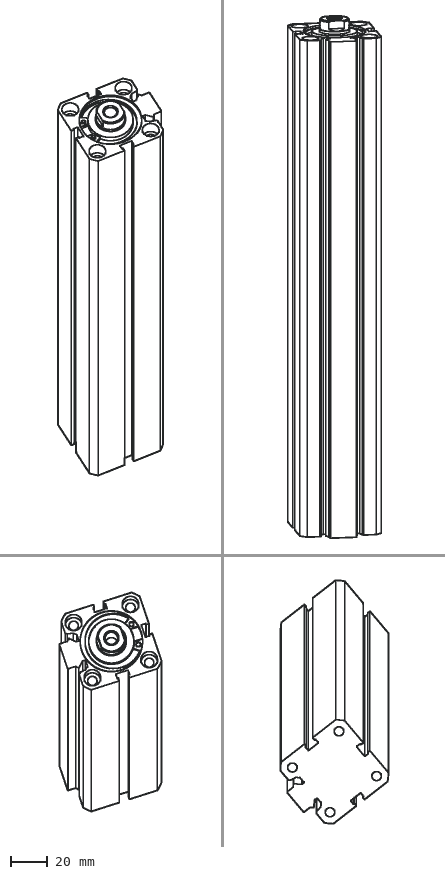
import cadquery as cq
import math

total_height = 283.0
housing_side = 45.0
housing_height = 276.0
corner_radius_from_axis = 29.5
half_side = housing_side / 2

mount_pitch = 32.5
mount_hole_diameter = 5.0
counterbore_diameter = 9.0
counterbore_depth = 7.0

groove_mouth_width = 5.7
groove_inner_width = 7.0
groove_depth = 4.2
groove_lip = 1.7

rail_top_y = 27.5
rail_width = 14.7
rail_edge_bevel = 0.3
rail_flare_width = 17.5
rail_flare_y = 21.5
rail_flare_height = 1.5
rail_neck_width = 11.3
channel_floor_y = 16.7
channel_floor_half_width = 9.3
channel_wall_half_width = 10.8
channel_wall_y = 18.5
channel_lip_half_width = 11.3
channel_mouth_half_width = 12.2

bore_diameter = 34.0
bore_depth = 28.3
ring_top_drop = 1.0
ring_thickness = 1.7

ring_inner_diameter = 30.8
ring_inner_offset = 1.0
lug_inner_radius = 12.5
lug_gap_width = 7.4
lug_end_angle = 36.0
lug_hole_diameter = 2.5
lug_hole_radius = 14.7
lug_hole_angle = 24.0

boss_diameter = 24.5

rod_diameter = 16.5
rod_head_diameter = 15.8
rod_head_length = 5.7
rod_edge_chamfer = 0.5
rod_flats_width = 13.3
rod_flat_length = 4.2
thread_hole_diameter = 6.8
thread_hole_depth = 13.0
thread_countersink_diameter = 8.2
drill_tip_angle = 118.0

bore_floor_z = housing_height - bore_depth
ring_top_z = housing_height - ring_top_drop
ring_floor_z = ring_top_z - ring_thickness
rod_head_floor_z = total_height - rod_head_length


def cylinder(diameter, bottom_z, top_z):
    """Upright cylinder on the Z axis."""
    return cq.Workplane("XY").workplane(offset=bottom_z).circle(diameter / 2).extrude(top_z - bottom_z)


def mirrored_profile(right_half):
    """Prism as tall as the housing whose outline is the given right half and its mirror image."""
    left_half = [(-x, y) for x, y in reversed(right_half)]
    return cq.Workplane("XY").polyline(right_half + left_half).close().extrude(housing_height)


def side_groove():
    """Groove cutter on the -Y side, wider behind its lip."""
    lip_y = -half_side + groove_lip
    return mirrored_profile(
        [
            (groove_mouth_width / 2, -half_side),
            (groove_mouth_width / 2, lip_y),
            (groove_inner_width / 2, lip_y),
            (groove_inner_width / 2, -half_side + groove_depth),
        ]
    )


def rail_opening():
    """Opening in the +Y side in which the rail stands, with bevelled floor and mouth corners."""
    mouth_bevel = channel_mouth_half_width - channel_lip_half_width
    return mirrored_profile(
        [
            (channel_floor_half_width, channel_floor_y),
            (channel_wall_half_width, channel_wall_y),
            (channel_lip_half_width, half_side - mouth_bevel),
            (channel_mouth_half_width, half_side),
        ]
    )


def rail():
    """Rail with a narrow neck that flares out below its straight, bevelled head."""
    head = rail_width / 2
    flare = rail_flare_width / 2
    neck = rail_neck_width / 2
    neck_y = rail_flare_y - (flare - neck)
    return mirrored_profile(
        [
            (neck, channel_floor_y),
            (neck, neck_y),
            (flare, rail_flare_y),
            (head, rail_flare_y + rail_flare_height),
            (head, rail_top_y - rail_edge_bevel),
            (head - rail_edge_bevel, rail_top_y),
        ]
    )


def make_housing():
    body = cq.Workplane("XY").rect(housing_side, housing_side).extrude(housing_height)
    body = body.intersect(cylinder(2 * corner_radius_from_axis, 0, housing_height))
    for angle in (0, 90, -90):
        body = body.cut(side_groove().rotate((0, 0, 0), (0, 0, 1), angle))
    body = body.cut(rail_opening()).union(rail())
    body = (
        body.faces(">Z")
        .workplane(origin=(0, 0, housing_height))
        .rect(mount_pitch, mount_pitch, forConstruction=True)
        .vertices()
        .cboreHole(mount_hole_diameter, counterbore_diameter, counterbore_depth)
    )
    return body.cut(cylinder(bore_diameter, bore_floor_z, housing_height))


def polar(radius, angle_from_gap):
    """Point at an angle measured from the -Y direction towards +X."""
    angle = math.radians(angle_from_gap)
    return radius * math.sin(angle), -radius * math.cos(angle)


def ring_sector(start_angle, end_angle):
    """Wedge from the axis past the ring's rim, as thick as the ring."""
    reach = bore_diameter
    return (
        cq.Workplane("XY")
        .workplane(offset=ring_floor_z)
        .polyline([(0, 0), polar(reach, start_angle), polar(reach, end_angle)])
        .close()
        .extrude(ring_thickness)
    )


def make_retaining_ring():
    """Open ring that thins towards the gap between its two pierced lugs."""
    opening = cylinder(ring_inner_diameter, ring_floor_z, ring_top_z).translate((0, -ring_inner_offset, 0))
    lugs = ring_sector(-lug_end_angle, lug_end_angle).cut(
        cylinder(2 * lug_inner_radius, ring_floor_z, ring_top_z)
    )
    gap = (
        cq.Workplane("XY")
        .workplane(offset=ring_floor_z)
        .center(0, -bore_diameter / 2)
        .rect(lug_gap_width, bore_diameter)
        .extrude(ring_thickness)
    )
    ring = cylinder(bore_diameter, ring_floor_z, ring_top_z).cut(opening.cut(lugs)).cut(gap)
    for side in (-1, 1):
        hole_x, hole_y = polar(lug_hole_radius, side * lug_hole_angle)
        hole = cylinder(lug_hole_diameter, ring_floor_z, ring_top_z)
        ring = ring.cut(hole.translate((hole_x, hole_y, 0)))
    return ring


def make_cover():
    flange = cylinder(bore_diameter, bore_floor_z, ring_floor_z)
    boss = cylinder(boss_diameter, ring_floor_z, housing_height)
    return flange.union(boss).cut(cylinder(rod_diameter, bore_floor_z, housing_height))


def flat_cutter():
    """Cutter for the +Y flat of the rod head, running out at 45 degrees at its lower end."""
    flat_y = rod_flats_width / 2
    run_out = rod_head_diameter / 2 - flat_y
    flat_floor_z = total_height - rod_flat_length
    return (
        cq.Workplane("YZ")
        .moveTo(flat_y, total_height)
        .lineTo(flat_y, flat_floor_z)
        .lineTo(flat_y + run_out, flat_floor_z - run_out)
        .lineTo(flat_y + run_out, total_height)
        .close()
        .extrude(rod_head_diameter / 2, both=True)
    )


def thread_hole():
    """Countersunk blind hole with a drill-tip bottom."""
    hole_radius = thread_hole_diameter / 2
    mouth_radius = thread_countersink_diameter / 2
    floor_z = total_height - thread_hole_depth
    tip_z = floor_z - hole_radius / math.tan(math.radians(drill_tip_angle / 2))
    return (
        cq.Workplane("XZ")
        .moveTo(0, tip_z)
        .lineTo(hole_radius, floor_z)
        .lineTo(hole_radius, total_height - (mouth_radius - hole_radius))
        .lineTo(mouth_radius, total_height)
        .lineTo(0, total_height)
        .close()
        .revolve(360, (0, 0, 0), (0, 1, 0))
    )


def make_rod():
    rod = cylinder(rod_diameter, bore_floor_z, rod_head_floor_z)
    head = cylinder(rod_head_diameter, rod_head_floor_z, total_height)
    rod = rod.union(head.faces(">Z").chamfer(rod_edge_chamfer))
    for angle in (0, 180):
        rod = rod.cut(flat_cutter().rotate((0, 0, 0), (0, 0, 1), angle))
    return rod.cut(thread_hole())


housing = make_housing()
retaining_ring = make_retaining_ring()
cover = make_cover()
rod = make_rod()

result = cq.Compound.makeCompound([housing.val(), retaining_ring.val(), cover.val(), rod.val()])